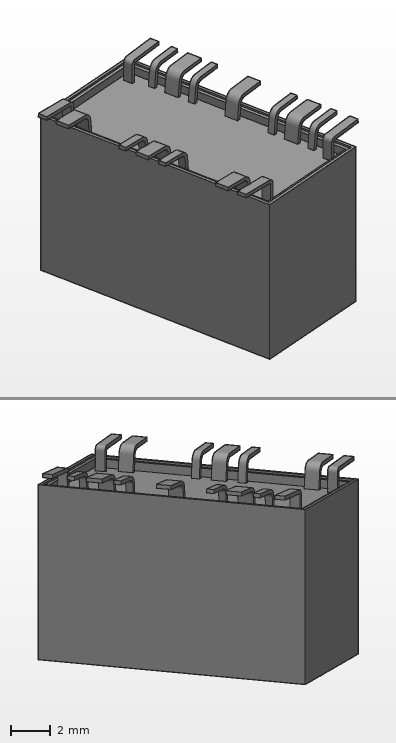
import cadquery as cq
import math

CASE_LENGTH = 14.6
CASE_WIDTH = 7.23
CASE_HEIGHT = 9.12
RIM_WALL = 0.18
LEDGE_WALL = 0.38
LEDGE_DEPTH = 0.1
FLOOR_DEPTH = 0.55

OVERALL_WIDTH = 9.4
OVERALL_HEIGHT = 10.0
PIN_PITCH = 1.27
PIN_THICKNESS = 0.2
PIN_RISE_ANGLE = math.radians(3)
PIN_EMBED = 0.15

CORNER_BEND = (2.45, 0.0, 0.26)
INNER_BEND = (2.76, math.radians(6), 0.51)

CORNER_PIN_WIDTH = 0.54
WIDE_PIN_WIDTH = 0.8
BROAD_PIN_WIDTH = 0.86
NARROW_PIN_WIDTH = 0.4
MEDIUM_PIN_WIDTH = 0.44

CORNER_PINS = [(-5, CORNER_PIN_WIDTH, CORNER_BEND), (5, CORNER_PIN_WIDTH, CORNER_BEND)]
BACK_PINS = CORNER_PINS + [
    (-4, NARROW_PIN_WIDTH, INNER_BEND),
    (-3, BROAD_PIN_WIDTH, INNER_BEND),
    (-2, NARROW_PIN_WIDTH, INNER_BEND),
    (0, WIDE_PIN_WIDTH, INNER_BEND),
    (2, NARROW_PIN_WIDTH, INNER_BEND),
    (3, BROAD_PIN_WIDTH, INNER_BEND),
    (4, NARROW_PIN_WIDTH, INNER_BEND),
]
FRONT_PINS = CORNER_PINS + [
    (-4, WIDE_PIN_WIDTH, INNER_BEND),
    (-1, MEDIUM_PIN_WIDTH, INNER_BEND),
    (0, WIDE_PIN_WIDTH, INNER_BEND),
    (1, MEDIUM_PIN_WIDTH, INNER_BEND),
    (4, WIDE_PIN_WIDTH, INNER_BEND),
]

FLOOR_Z = CASE_HEIGHT - FLOOR_DEPTH


def rim_pocket(wall, depth):
    """Block that leaves a given wall all round and reaches a given depth below the rim."""
    return (
        cq.Workplane("XY")
        .workplane(offset=CASE_HEIGHT - depth)
        .rect(CASE_LENGTH - 2 * wall, CASE_WIDTH - 2 * wall)
        .extrude(depth)
    )


def make_case():
    block = cq.Workplane("XY").rect(CASE_LENGTH, CASE_WIDTH).extrude(CASE_HEIGHT)
    return block.cut(rim_pocket(RIM_WALL, LEDGE_DEPTH)).cut(rim_pocket(LEDGE_WALL, FLOOR_DEPTH))


def make_pin(pitches, width, bend):
    """Bent strip on the +Y side: leg, round bend, and an arm rising gently to a square-cut tip."""
    foot_y, leg_lean, outer_radius = bend
    inner_radius = outer_radius - PIN_THICKNESS
    slope = math.tan(PIN_RISE_ANGLE)

    tip_bottom = (
        OVERALL_WIDTH / 2,
        OVERALL_HEIGHT - PIN_THICKNESS * math.cos(PIN_RISE_ANGLE),
    )
    tip_top = (OVERALL_WIDTH / 2 - PIN_THICKNESS * math.sin(PIN_RISE_ANGLE), OVERALL_HEIGHT)

    height_at_middle = OVERALL_HEIGHT - tip_top[0] * slope - outer_radius / math.cos(PIN_RISE_ANGLE)
    centre_y = (
        foot_y * math.cos(leg_lean) + outer_radius + (height_at_middle - FLOOR_Z) * math.sin(leg_lean)
    ) / (math.cos(leg_lean) - slope * math.sin(leg_lean))
    centre_z = height_at_middle + slope * centre_y

    leg_end = math.pi - leg_lean
    arm_start = math.pi / 2 + PIN_RISE_ANGLE
    bend_middle = (arm_start + leg_end) / 2

    def on_bend(radius, angle):
        return (centre_y + radius * math.cos(angle), centre_z + radius * math.sin(angle))

    root_z = FLOOR_Z - PIN_EMBED
    root_inner_y = foot_y - PIN_EMBED * math.tan(leg_lean)
    root_outer_y = root_inner_y + PIN_THICKNESS / math.cos(leg_lean)

    return (
        cq.Workplane("YZ")
        .workplane(offset=pitches * PIN_PITCH - width / 2)
        .moveTo(root_inner_y, root_z)
        .lineTo(*on_bend(outer_radius, leg_end))
        .threePointArc(on_bend(outer_radius, bend_middle), on_bend(outer_radius, arm_start))
        .lineTo(*tip_top)
        .lineTo(*tip_bottom)
        .lineTo(*on_bend(inner_radius, arm_start))
        .threePointArc(on_bend(inner_radius, bend_middle), on_bend(inner_radius, leg_end))
        .lineTo(root_outer_y, root_z)
        .close()
        .extrude(width)
    )


result = make_case()
for pin in BACK_PINS:
    result = result.union(make_pin(*pin))
for pin in FRONT_PINS:
    result = result.union(make_pin(*pin).mirror("XZ"))